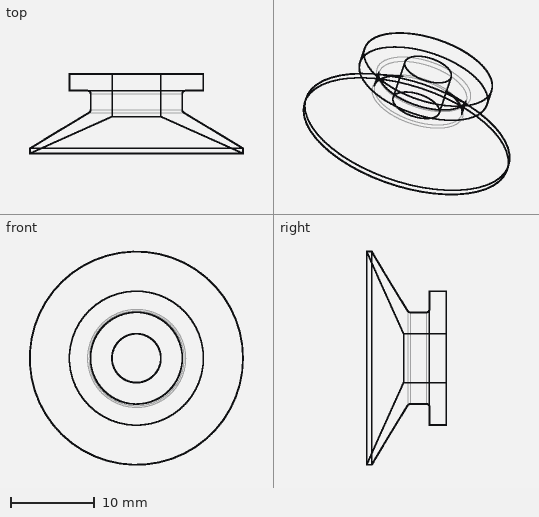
import cadquery as cq

total_length = 9.5
cup_radius = 12.75
rim_thickness = 0.6
neck_radius = 5.48
neck_start = 5.0
flange_radius = 8.0
flange_thickness = 2.01
bore_radius = 2.9
cup_depth = 4.4
neck_fillet = 0.38

flange_start = total_length - flange_thickness

half_section = (
    cq.Workplane("XY")
    .moveTo(bore_radius, cup_depth)
    .lineTo(cup_radius, 0)
    .lineTo(cup_radius, rim_thickness)
    .lineTo(neck_radius, neck_start)
    .lineTo(neck_radius, flange_start)
    .lineTo(flange_radius, flange_start)
    .lineTo(flange_radius, total_length)
    .lineTo(bore_radius, total_length)
    .close()
)
body = half_section.revolve(360, (0, 0, 0), (0, 1, 0))


def circle_at(radius, position):
    """Select the circular edge of the given radius at a position along Y."""
    margin = 0.03
    reach = radius + margin
    return cq.selectors.BoxSelector(
        (-reach, position - margin, -reach),
        (reach, position + margin, reach),
        boundingbox=True,
    )


neck_corners = circle_at(neck_radius, neck_start) + circle_at(neck_radius, flange_start)
result = body.edges(neck_corners).fillet(neck_fillet)